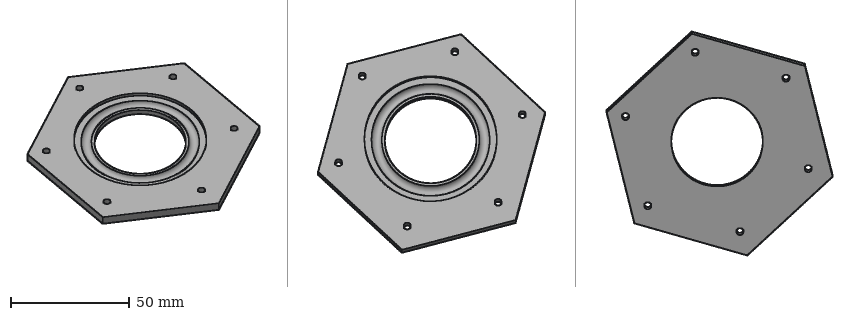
import cadquery as cq

corner_distance = 99.6
thickness = 4.0

axis_x = -1.5

bore_radius = 19.3
recess_radius = 28.0
recess_depth = 1.5
floor_z = thickness - recess_depth

groove_inner_radius = 20.6
groove_outer_radius = 25.0
groove_centre_radius = (groove_inner_radius + groove_outer_radius) / 2
groove_depth = 2.0

hole_diameter = 3.0
hole_pairs = [
    (-36.3, 20.3),
    (-1.6, 40.35),
    (33.5, 19.9),
]


def make_plate():
    return (
        cq.Workplane("XY")
        .polygon(6, corner_distance)
        .extrude(thickness)
        .rotate((0, 0, 0), (0, 0, 1), 90)
    )


def make_seat_cutter():
    """Bore, shallow recess and ball groove as one revolved cutter."""
    profile = (
        cq.Workplane("XZ")
        .lineTo(bore_radius, 0)
        .lineTo(bore_radius, floor_z)
        .lineTo(groove_inner_radius, floor_z)
        .threePointArc(
            (groove_centre_radius, floor_z - groove_depth),
            (groove_outer_radius, floor_z),
        )
        .lineTo(recess_radius, floor_z)
        .lineTo(recess_radius, thickness)
        .lineTo(0, thickness)
        .close()
    )
    return profile.revolve(360, (0, 0, 0), (0, 1, 0)).translate((axis_x, 0, 0))


def make_screw_holes():
    centres = [(x, side * offset) for x, offset in hole_pairs for side in (-1, 1)]
    return cq.Workplane("XY").pushPoints(centres).circle(hole_diameter / 2).extrude(thickness)


result = make_plate().cut(make_seat_cutter()).cut(make_screw_holes())